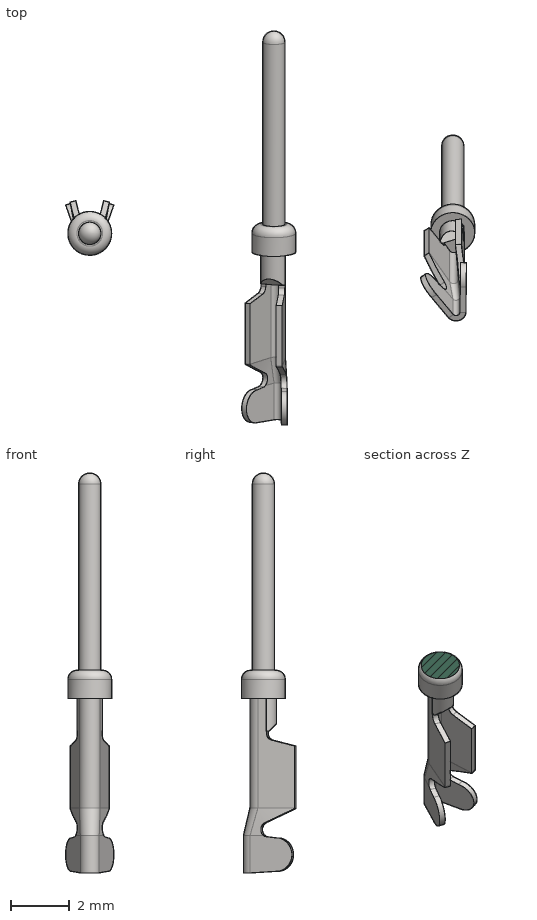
import cadquery as cq
import math

TOTAL_HEIGHT = 13.61
PIN_RADIUS = 0.38
COLLAR_RADIUS = 0.75
COLLAR_BOTTOM = 5.93
COLLAR_TOP = 6.9
COLLAR_FILLET = 0.31
STUB_RADIUS = 0.45
STUB_BOTTOM = 4.83
STUB_CHAMFER = 0.25

SHEET = 0.2
INSULATION_TOP = 1.28
BARREL_BOTTOM = 2.22
SEAT_WALL_Y = 0.1

MARGIN = 1.63

BARREL = dict(trough_y=-0.46, bend=0.37, lean=14.0, reach_y=1.06)
INSULATION = dict(trough_y=-0.68, bend=0.34, lean=19.5, reach_y=1.12)

FLAP_LEAN = 17.0
FLAP_PIVOT_X = 0.35
FLAP_PIVOT_Y = -0.27
LOBE_RADIUS = 0.57
LOBE_Y = 0.42
LOBE_BOTTOM = 0.05
LOBE_Z = LOBE_BOTTOM + LOBE_RADIUS
BOTTOM_FLAT_Y = -0.46
NOTCH_START = (0.08, 1.24)
NOTCH_MIDDLE = (-0.08, 1.5)
NOTCH_END = (0.05, 1.71)
FLAP_REAR_Y = 1.09
FLAP_TOP_REAR = (MARGIN, 4.16)
FLAP_TOP_FRONT = (0.27, 4.52)
CORNER_MIDDLE = (0.15, 4.6)
CORNER_END = (SEAT_WALL_Y, 4.74)


def polar(radius, degrees):
    angle = math.radians(degrees)
    return radius * math.cos(angle), radius * math.sin(angle)


def channel_profile(z, trough_y, bend, lean, reach_y, filled=False):
    """U-shaped sheet section at height z; filled=True gives the space inside the sheet."""
    center_y = trough_y + bend
    inner = bend - SHEET
    out_x, out_dy = polar(bend, -lean)
    in_x, in_dy = polar(inner, -lean)
    wall = (reach_y - center_y - out_dy) / math.cos(math.radians(lean))
    wall_dy, wall_dx = polar(wall, lean)
    out_y = center_y + out_dy
    in_y = center_y + in_dy
    plane = cq.Workplane("XY", origin=(0, 0, z))
    if filled:
        return (
            plane.moveTo(-in_x - wall_dx, in_y + wall_dy)
            .lineTo(-in_x, in_y)
            .threePointArc((0, center_y - inner), (in_x, in_y))
            .lineTo(in_x + wall_dx, in_y + wall_dy)
            .close()
        )
    return (
        plane.moveTo(-out_x - wall_dx, out_y + wall_dy)
        .lineTo(-out_x, out_y)
        .threePointArc((0, trough_y), (out_x, out_y))
        .lineTo(out_x + wall_dx, out_y + wall_dy)
        .lineTo(in_x + wall_dx, in_y + wall_dy)
        .lineTo(in_x, in_y)
        .threePointArc((0, center_y - inner), (-in_x, in_y))
        .lineTo(-in_x - wall_dx, in_y + wall_dy)
        .close()
    )


def bent_sheet():
    """Untrimmed strip: insulation channel, sloping transition, conductor channel."""
    insulation = channel_profile(0, **INSULATION).extrude(INSULATION_TOP)
    barrel = channel_profile(BARREL_BOTTOM, **BARREL).extrude(COLLAR_BOTTOM - BARREL_BOTTOM)
    lower = channel_profile(INSULATION_TOP, **INSULATION).val()
    upper = channel_profile(BARREL_BOTTOM, **BARREL).val()
    transition = cq.Workplane(cq.Solid.makeLoft([lower, upper], True))
    return insulation.union(transition).union(barrel)


def flap_outline(side):
    """Solid that keeps the flap shape on one side (+1 for +X, -1 for -X)."""
    stretch = 1 / math.cos(math.radians(FLAP_LEAN))

    def on_wall(y, z):
        return FLAP_PIVOT_Y + (y - FLAP_PIVOT_Y) * stretch, z

    lobe_top = on_wall(LOBE_Y, LOBE_Z + LOBE_RADIUS)
    lobe_tip = on_wall(LOBE_Y + LOBE_RADIUS, LOBE_Z)
    lobe_bottom = on_wall(LOBE_Y, LOBE_BOTTOM)
    outline = (
        cq.Workplane("YZ", origin=(-MARGIN, 0, 0))
        .moveTo(-MARGIN, 0)
        .lineTo(*on_wall(BOTTOM_FLAT_Y, 0))
        .lineTo(*lobe_bottom)
        .threePointArc(lobe_tip, lobe_top)
        .lineTo(*on_wall(*NOTCH_START))
        .threePointArc(on_wall(*NOTCH_MIDDLE), on_wall(*NOTCH_END))
        .lineTo(*on_wall(FLAP_REAR_Y, BARREL_BOTTOM))
        .lineTo(*on_wall(MARGIN, BARREL_BOTTOM))
        .lineTo(*on_wall(*FLAP_TOP_REAR))
        .lineTo(*on_wall(*FLAP_TOP_FRONT))
        .threePointArc(on_wall(*CORNER_MIDDLE), on_wall(*CORNER_END))
        .lineTo(*on_wall(SEAT_WALL_Y, COLLAR_BOTTOM))
        .lineTo(-MARGIN, COLLAR_BOTTOM)
        .close()
        .extrude(2 * MARGIN)
    )
    leaned = outline.rotate((0, FLAP_PIVOT_Y, 0), (0, FLAP_PIVOT_Y, 1), -side * FLAP_LEAN)
    leaned = leaned.translate((side * FLAP_PIVOT_X, 0, 0))
    half_space = cq.Workplane("XY").box(MARGIN, 2 * MARGIN, COLLAR_BOTTOM, centered=(True, True, False))
    return leaned.intersect(half_space.translate((side * MARGIN / 2, 0, 0)))


def make_crimp_strip():
    sheet = bent_sheet()
    return sheet.intersect(flap_outline(1)).union(sheet.intersect(flap_outline(-1)))


def make_stub():
    """Round stub that fills the channel and rests on the edges of its low walls."""
    height = COLLAR_BOTTOM - STUB_BOTTOM
    cylinder = cq.Workplane("XY", origin=(0, 0, STUB_BOTTOM)).circle(STUB_RADIUS).extrude(height)
    inside = channel_profile(STUB_BOTTOM, **BARREL, filled=True).extrude(height)
    bevel = (
        cq.Workplane("YZ", origin=(-MARGIN, 0, 0))
        .moveTo(STUB_RADIUS - STUB_CHAMFER, STUB_BOTTOM)
        .lineTo(STUB_RADIUS, STUB_BOTTOM)
        .lineTo(STUB_RADIUS, STUB_BOTTOM + STUB_CHAMFER)
        .close()
        .extrude(2 * MARGIN)
    )
    above_walls = (
        cq.Workplane("XY", origin=(0, SEAT_WALL_Y, STUB_BOTTOM))
        .box(2 * MARGIN, MARGIN, height, centered=(True, False, False))
    )
    return cylinder.intersect(inside.union(above_walls)).cut(bevel)


def make_pin(strip):
    shank_end = TOTAL_HEIGHT - PIN_RADIUS
    collar = (
        cq.Workplane("XY", origin=(0, 0, COLLAR_BOTTOM))
        .circle(COLLAR_RADIUS)
        .extrude(COLLAR_TOP - COLLAR_BOTTOM)
        .faces(">Z")
        .edges()
        .fillet(COLLAR_FILLET)
    )
    shank = cq.Workplane("XY", origin=(0, 0, COLLAR_TOP)).circle(PIN_RADIUS).extrude(shank_end - COLLAR_TOP)
    tip = cq.Workplane("XY", origin=(0, 0, shank_end)).sphere(PIN_RADIUS)
    return collar.union(shank).union(tip).union(make_stub()).cut(strip)


crimp_strip = make_crimp_strip()
pin = make_pin(crimp_strip)

result = cq.Compound.makeCompound([pin.solids().val(), crimp_strip.solids().val()])